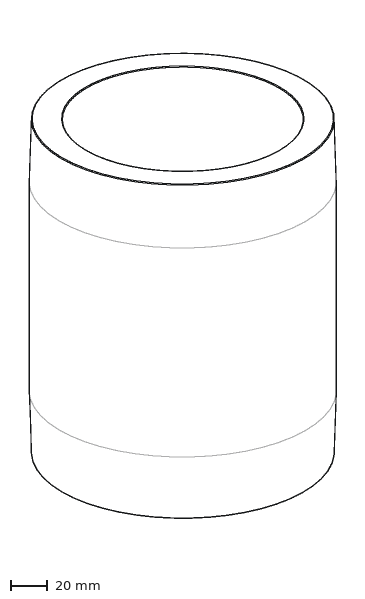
import cadquery as cq

INCH = 25.4
OUTER_DIAMETER = 6.625 * INCH
WALL_THICKNESS = 0.719 * INCH
LENGTH = 8.0 * INCH
BAND_LENGTH = 1.5 * INCH
RADIUS_TAPER = 1.0 / 32.0
EDGE_CHAMFER = 0.5

outer_radius = OUTER_DIAMETER / 2.0
bore_radius = outer_radius - WALL_THICKNESS
end_radius = outer_radius - BAND_LENGTH * RADIUS_TAPER
end_height = LENGTH / 2.0
shoulder_height = end_height - BAND_LENGTH


def wall_section():
    """Cross-section of the wall on the -X side, where the surface seam lies."""
    return (
        cq.Workplane("XZ")
        .moveTo(-bore_radius, -end_height)
        .lineTo(-end_radius, -end_height)
        .lineTo(-outer_radius, -shoulder_height)
        .lineTo(-outer_radius, shoulder_height)
        .lineTo(-end_radius, end_height)
        .lineTo(-bore_radius, end_height)
        .close()
    )


def break_end_edges(pipe):
    """Chamfer the bore rim and the outer rim at both ends."""
    return pipe.faces("|Z").edges().chamfer(EDGE_CHAMFER)


sharp_pipe = wall_section().revolve(360.0, (0, 0, 0), (0, 1, 0))
result = break_end_edges(sharp_pipe)